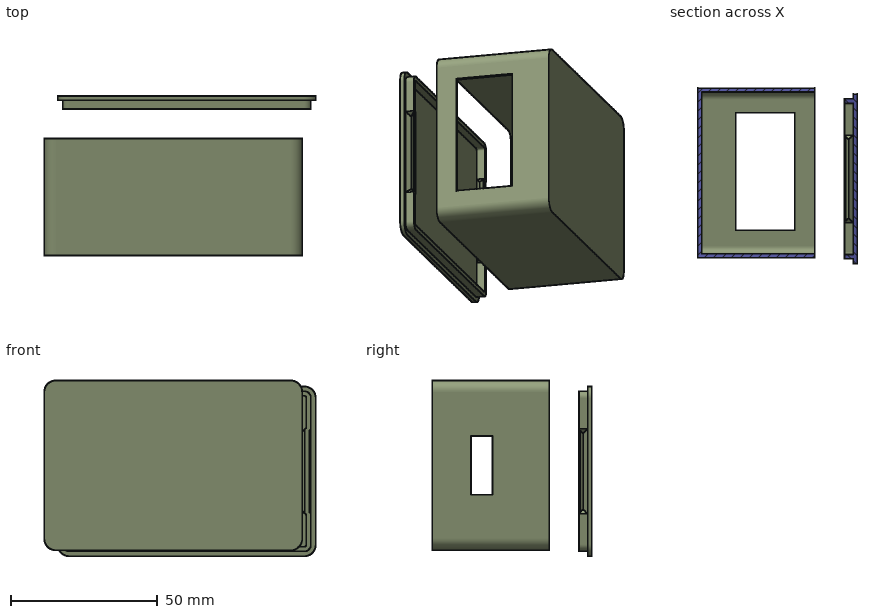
import cadquery as cq

overall_x = 92.7
overall_y = 54.5
overall_z = 60.0

length = 88.0
height = 58.0
corner_radius = 4.0
housing_depth = 40.0
wall = 1.5

plate_thickness = 1.5
rim_depth = 3.0
rim_thickness = 1.6
rim_inset = 1.7

large_window_y = 20.0
large_window_z = 40.0
large_window_from_front = 13.1
large_window_raise = 0.5
small_window_y = 7.2
small_window_z = 20.0
small_window_from_front = 13.3
window_cutter_x = 4 * wall

groove_length = 28.9
groove_lip_depth = 0.6
groove_lip_width = 0.5
groove_depth = (rim_depth - groove_lip_width + groove_lip_depth) / 2
rib_extra_length = 0.9

housing_front_y = -overall_y / 2
lid_back_y = overall_y / 2
plate_front_y = lid_back_y - plate_thickness
rim_front_y = plate_front_y - rim_depth
housing_x = -(overall_x - length) / 2
housing_z = (overall_z - height) / 2
lid_x = -housing_x
lid_z = -housing_z


def rounded_block(x, z, front_y, depth, inset):
    """Block with rounded edges along Y, its outline inset from the common box outline."""
    return (
        cq.Workplane("XZ", origin=(x, front_y, z))
        .rect(length - 2 * inset, height - 2 * inset)
        .extrude(-depth)
        .edges("|Y")
        .fillet(corner_radius - inset)
    )


def end_window(wall_x, from_front, size_y, size_z, raise_z):
    """Cutter for a rectangular window through one end wall of the housing."""
    return cq.Workplane("XY").box(window_cutter_x, size_y, size_z).translate(
        (wall_x, housing_front_y + from_front + size_y / 2, housing_z + raise_z)
    )


def make_housing():
    shell = rounded_block(housing_x, housing_z, housing_front_y, housing_depth, 0)
    cavity = rounded_block(housing_x, housing_z, housing_front_y + wall, housing_depth - wall, wall)
    large_window = end_window(
        housing_x - length / 2, large_window_from_front, large_window_y, large_window_z, large_window_raise
    )
    small_window = end_window(
        housing_x + length / 2, small_window_from_front, small_window_y, small_window_z, 0
    )
    return shell.cut(cavity).cut(large_window).cut(small_window)


def snap_wedge(wedge_length):
    """V-shaped wedge with hipped ends that points to +X from the plane X = 0, at the lid's height."""
    ridge_y = plate_front_y - groove_depth
    slope_end_y = rim_front_y + groove_lip_width
    profile = (
        cq.Workplane("XY", origin=(0, 0, lid_z - wedge_length / 2))
        .moveTo(0, plate_front_y)
        .lineTo(groove_depth, ridge_y)
        .lineTo(groove_lip_depth, slope_end_y)
        .lineTo(groove_lip_depth, rim_front_y)
        .lineTo(0, rim_front_y)
        .close()
        .extrude(wedge_length)
    )
    hip = (
        cq.Workplane("XZ", origin=(0, rim_front_y, lid_z))
        .moveTo(0, -wedge_length / 2)
        .lineTo(groove_depth, groove_depth - wedge_length / 2)
        .lineTo(groove_depth, wedge_length / 2 - groove_depth)
        .lineTo(0, wedge_length / 2)
        .close()
        .extrude(-rim_depth)
    )
    return profile.intersect(hip)


def make_lid():
    plate = rounded_block(lid_x, lid_z, plate_front_y, plate_thickness, 0)
    rim = rounded_block(lid_x, lid_z, rim_front_y, rim_depth, rim_inset)
    pocket = rounded_block(lid_x, lid_z, rim_front_y, rim_depth, rim_inset + rim_thickness)
    lid = plate.union(rim.cut(pocket))

    groove_start = rim_inset - length / 2
    groove = snap_wedge(groove_length).translate((groove_start, 0, 0))
    rib = snap_wedge(groove_length + rib_extra_length).translate((groove_start + rim_thickness, 0, 0))
    ribs = rib.union(rib.mirror("YZ")).translate((lid_x, 0, 0))
    grooves = groove.union(groove.mirror("YZ")).translate((lid_x, 0, 0))
    return lid.union(ribs).cut(grooves)


housing = make_housing()
lid = make_lid()
result = cq.Compound.makeCompound([housing.val(), lid.val()])